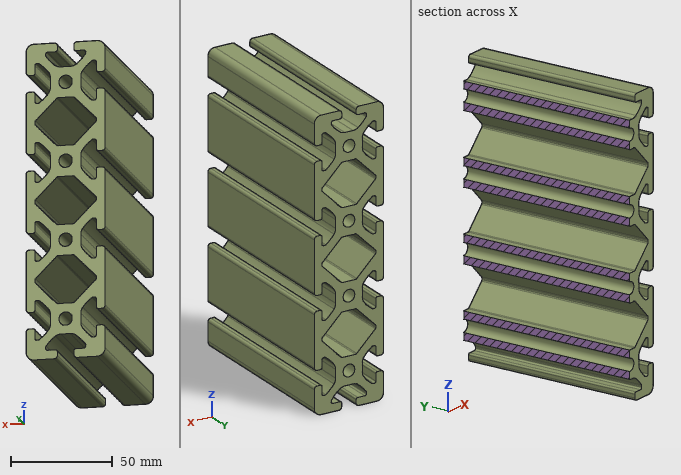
import cadquery as cq
cell = 40.0
cell_count = 4
length = 100.0
height = cell * cell_count
corner_radius = 4.0
bore_diameter = 6.7

slot_opening = 8.3
lip_thickness = 4.5
lip_outer_radius = 1.6
lip_inner_radius = 1.0
cavity_width = 20.2
cavity_side = 2.0
cavity_radius = 1.0
slope_radius = 22.4
slot_depth = 12.3
floor_width = 7.7
floor_radius = 4.8

chamber_wall = 4.5
chamber_side = 1.6
chamber_radius = 1.0
chamber_height = 24.3

cell_centres = [(row - (cell_count - 1) / 2) * cell for row in range(cell_count)]
chamber_centres = [centre + cell / 2 for centre in cell_centres[:-1]]


def section_plane():
    """XZ plane at the front end; extruding by a negative length runs toward +Y."""
    return cq.Workplane("XZ", origin=(0, -length / 2, 0))


def fillet_pair(solid, x, z, radius):
    """Round the two lengthwise edges that lie at +x and -x, at height z."""
    tolerance = 0.002

    def is_in_pair(edge):
        centre = edge.Center()
        return abs(abs(centre.x) - x) < tolerance and abs(centre.z - z) < tolerance

    return solid.edges("|Y").filter(is_in_pair).fillet(radius)


def slot_cutter():
    """T-slot that opens upward, with its mouth at Z = 0."""
    half_mouth = slot_opening / 2
    half_cavity = cavity_width / 2
    half_floor = floor_width / 2
    flare = half_mouth + lip_outer_radius
    slope_start = lip_thickness + cavity_side

    cutter = (
        section_plane()
        .moveTo(-flare, 0)
        .radiusArc((-half_mouth, -lip_outer_radius), lip_outer_radius)
        .lineTo(-half_mouth, -lip_thickness)
        .lineTo(-half_cavity, -lip_thickness)
        .lineTo(-half_cavity, -slope_start)
        .radiusArc((-half_floor, -slot_depth), -slope_radius)
        .lineTo(half_floor, -slot_depth)
        .radiusArc((half_cavity, -slope_start), -slope_radius)
        .lineTo(half_cavity, -lip_thickness)
        .lineTo(half_mouth, -lip_thickness)
        .lineTo(half_mouth, -lip_outer_radius)
        .radiusArc((flare, 0), lip_outer_radius)
        .close()
        .extrude(-length)
    )
    cutter = fillet_pair(cutter, half_mouth, -lip_thickness, lip_inner_radius)
    cutter = fillet_pair(cutter, half_floor, -slot_depth, floor_radius)
    cutter = fillet_pair(cutter, half_cavity, -slope_start, cavity_radius)
    return fillet_pair(cutter, half_cavity, -lip_thickness, cavity_radius)


def chamber_cutter():
    """Diamond chamber with cut-off, rounded corners, centred on the origin."""
    half_width = cell / 2 - chamber_wall
    half_height = chamber_height / 2
    half_side = chamber_side / 2
    half_roof = half_width - (half_height - half_side)
    return (
        section_plane()
        .polyline([
            (-half_roof, half_height),
            (half_roof, half_height),
            (half_width, half_side),
            (half_width, -half_side),
            (half_roof, -half_height),
            (-half_roof, -half_height),
            (-half_width, -half_side),
            (-half_width, half_side),
        ])
        .close()
        .extrude(-length)
        .edges("|Y")
        .fillet(chamber_radius)
    )


bar = cq.Workplane("XY").box(cell, length, height).edges("|Y").fillet(corner_radius)

slot = slot_cutter()
turn_axis = ((0, 0, 0), (0, 1, 0))
right_slot = slot.rotate(*turn_axis, 90)
left_slot = slot.rotate(*turn_axis, -90)
bottom_slot = slot.rotate(*turn_axis, 180)
bar = bar.cut(slot.translate((0, 0, height / 2)))
bar = bar.cut(bottom_slot.translate((0, 0, -height / 2)))
for centre in cell_centres:
    bar = bar.cut(right_slot.translate((cell / 2, 0, centre)))
    bar = bar.cut(left_slot.translate((-cell / 2, 0, centre)))

chamber = chamber_cutter()
for centre in chamber_centres:
    bar = bar.cut(chamber.translate((0, 0, centre)))

bores = (
    section_plane()
    .pushPoints([(0, centre) for centre in cell_centres])
    .circle(bore_diameter / 2)
    .extrude(-length)
)
result = bar.cut(bores)